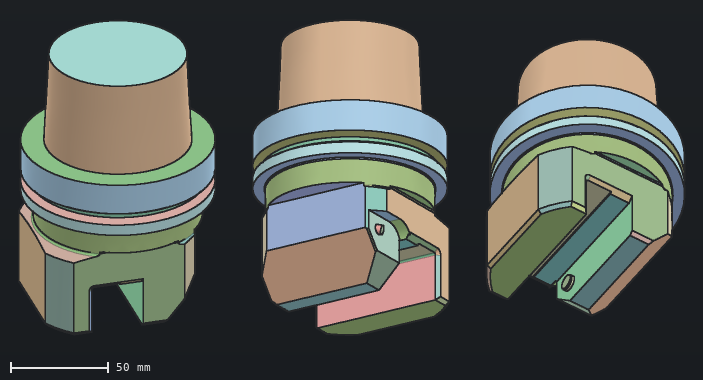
import math

import cadquery as cq


shank_height = 49.9
shank_base_radius = 38.0
shank_top_radius = 35.5

flange_radius = 99.95 / 2
flange_bottom = -29.2
groove_radius = 91.95 / 2
groove_upper_edge = -16.7
groove_upper_floor = -18.8
groove_lower_floor = -21.0
groove_lower_edge = -23.2

neck_top_radius = 87.2 / 2
neck_foot_radius = 43.5
neck_bottom = -42.9
neck_lead_in = 0.8
neck_lead_in_radius = 44.0

head_half_width = 38.1
head_front = -46.0
head_back = 32.3
head_back_bevel = 8.0
head_turned_radius = 51.7
head_bottom = -90.0
head_rim_top = -47.2
head_cone_angle = math.radians(15)
shoulder_fillet_start = -43.9
side_relief_height = 1.0
side_relief_width = 0.45

leg_inner_face = -24.7
post_face = 2.2
slot_roof = -64.1
slot_corner_radius = 1.0
edge_chamfer = 2.0
roof_pad_depth = 0.9
roof_pad_front = -9.4

post_side = -31.4
pocket_top = -58.0
pocket_corner_radius = 11.5
pocket_corner_y = 12.0
post_bevel_start = -77.7
post_slope_top = -67.8
post_slope_foot = 13.7
post_slope_chamfer = 0.75

pin_diameter = 5.0
pin_end = (-33.4, 21.4, -66.4)
pin_direction = (1.0, 0.35, 0.3)
pin_length = 6.0
screw_diameter = 8.5
screw_center_x = -19.3
screw_center_z = -77.0
screw_height = 2.3
screw_rim_height = 0.8
screw_rim_inset = 0.3

overlap = 2.0
clearance = 20.0


def make_turned_body():
    """Shank, grooved flange, neck and turned head blank as one body of revolution."""
    slope = math.tan(head_cone_angle)
    shoulder_root = head_rim_top + (head_turned_radius - neck_foot_radius) * slope
    tangent_length = shoulder_fillet_start - shoulder_root
    turn_angle = math.pi / 2 - head_cone_angle
    fillet_radius = tangent_length / math.tan(turn_angle / 2)
    middle_angle = math.pi + turn_angle / 2
    fillet_middle = (
        neck_foot_radius + fillet_radius * (1 + math.cos(middle_angle)),
        shoulder_fillet_start + fillet_radius * math.sin(middle_angle),
    )
    fillet_end = (
        neck_foot_radius + tangent_length * math.cos(head_cone_angle),
        shoulder_root - tangent_length * math.sin(head_cone_angle),
    )
    upper_profile = [
        (0, head_bottom),
        (0, shank_height),
        (shank_top_radius, shank_height),
        (shank_base_radius, 0),
        (flange_radius, 0),
        (flange_radius, groove_upper_edge),
        (groove_radius, groove_upper_floor),
        (groove_radius, groove_lower_floor),
        (flange_radius, groove_lower_edge),
        (flange_radius, flange_bottom),
        (neck_lead_in_radius, flange_bottom),
        (neck_top_radius, flange_bottom - neck_lead_in),
        (neck_foot_radius, shoulder_fillet_start),
    ]
    return (
        cq.Workplane("XZ")
        .polyline(upper_profile)
        .threePointArc(fillet_middle, fillet_end)
        .lineTo(head_turned_radius, head_rim_top)
        .lineTo(head_turned_radius, head_bottom)
        .close()
        .revolve(360, (0, 0, 0), (0, 1, 0))
    )


def extrude_head_outline(bottom, top):
    """Prism of the head outline between two heights."""
    front_corner_x = math.sqrt(head_turned_radius**2 - head_front**2)
    side_corner_y = -math.sqrt(head_turned_radius**2 - head_half_width**2)
    corner_angle = (math.atan2(head_front, front_corner_x) + math.atan2(side_corner_y, head_half_width)) / 2
    arc_x = head_turned_radius * math.cos(corner_angle)
    arc_y = head_turned_radius * math.sin(corner_angle)
    bevel_x = head_half_width - head_back_bevel
    bevel_y = head_back - head_back_bevel
    return (
        cq.Workplane("XY", origin=(0, 0, bottom))
        .moveTo(-front_corner_x, head_front)
        .lineTo(front_corner_x, head_front)
        .threePointArc((arc_x, arc_y), (head_half_width, side_corner_y))
        .lineTo(head_half_width, bevel_y)
        .lineTo(bevel_x, head_back)
        .lineTo(-bevel_x, head_back)
        .lineTo(-head_half_width, bevel_y)
        .lineTo(-head_half_width, side_corner_y)
        .threePointArc((-arc_x, arc_y), (-front_corner_x, head_front))
        .close()
        .extrude(top - bottom)
    )


def extrude_side_profile(points, x_start, x_end):
    """Prism along X of a closed polygon given as (y, z) points."""
    return cq.Workplane("YZ", origin=(x_start, 0, 0)).polyline(points).close().extrude(x_end - x_start)


def trim_to_head_outline(body):
    """Remove everything below the neck that lies outside the head outline."""
    surround = (
        cq.Workplane("XY", origin=(0, 0, neck_bottom))
        .circle(head_turned_radius + clearance)
        .extrude(head_bottom - clearance - neck_bottom)
    )
    return body.cut(surround.cut(extrude_head_outline(head_bottom - clearance, neck_bottom)))


def open_slot(body):
    """Cut away behind the front leg, then chamfer the slot side edges and the leg bottom rim."""
    cut_back = head_back + clearance
    cut_bottom = head_bottom - clearance
    opening = cq.Workplane("XY").box(
        2 * (head_half_width + clearance),
        cut_back - leg_inner_face,
        slot_roof - cut_bottom,
        centered=(True, False, False),
    )
    opening = opening.translate((0, leg_inner_face, cut_bottom))
    opening = opening.edges("<Y and >Z").fillet(slot_corner_radius)
    body = body.cut(opening)

    margin = 0.01
    slot_selectors = []
    for side in (-1, 1):
        lower = (side * head_half_width - margin, leg_inner_face - margin, head_bottom + margin)
        upper = (side * head_half_width + margin, head_back, slot_roof + margin)
        slot_selectors.append(cq.selectors.BoxSelector(lower, upper))
    edges = body.faces("<Z").edges("not(>Y)")
    for selector in slot_selectors:
        edges = edges.add(body.edges(selector))
    return edges.chamfer(edge_chamfer)


def make_roof_pad():
    """Raised pad on the slot roof, its ends continuing the chamfered roof edges."""
    top = slot_roof
    bottom = slot_roof - roof_pad_depth
    top_half = head_half_width - edge_chamfer
    bottom_half = top_half - roof_pad_depth
    profile = [
        (-top_half, top),
        (top_half, top),
        (bottom_half, bottom),
        (-bottom_half, bottom),
    ]
    length = post_face + overlap - roof_pad_front
    return cq.Workplane("XZ", origin=(0, roof_pad_front, 0)).polyline(profile).close().extrude(-length)


def make_rear_post():
    """Post behind the slot, with its sloped back and chamfered +X bottom edge."""
    post = extrude_head_outline(head_bottom, slot_roof + edge_chamfer)
    front_cut = extrude_side_profile(
        [
            (post_face, head_bottom - clearance),
            (post_face, slot_roof + clearance),
            (head_front - clearance, slot_roof + clearance),
            (head_front - clearance, head_bottom - clearance),
        ],
        -head_half_width - clearance,
        head_half_width + clearance,
    )
    back_cut = extrude_side_profile(
        [(head_back, post_slope_top), (post_slope_foot, head_bottom), (head_back, head_bottom)],
        -head_half_width - clearance,
        head_half_width + clearance,
    )
    post = post.cut(front_cut).cut(back_cut)
    return post.faces("<Z").edges(">X").chamfer(edge_chamfer)


def make_post_pocket():
    """Relief beside the post, rounded at its upper front corner."""
    corner_bottom = pocket_top - pocket_corner_radius
    diagonal = pocket_corner_radius * math.sqrt(0.5)
    corner_middle = (pocket_corner_y - diagonal, corner_bottom + diagonal)
    return (
        cq.Workplane("YZ", origin=(post_side, 0, 0))
        .moveTo(head_back + clearance, pocket_top)
        .lineTo(pocket_corner_y, pocket_top)
        .threePointArc(corner_middle, (pocket_corner_y - pocket_corner_radius, corner_bottom))
        .lineTo(pocket_corner_y - pocket_corner_radius, head_bottom - clearance)
        .lineTo(head_back + clearance, head_bottom - clearance)
        .close()
        .extrude(post_side - head_half_width)
    )


def make_post_bevel():
    """45 degree cut under the side of the post."""
    bevel = post_bevel_start - head_bottom
    profile = [
        (post_side, post_bevel_start),
        (post_side + bevel, head_bottom),
        (post_side, head_bottom),
    ]
    length = head_back - post_face
    return cq.Workplane("XZ", origin=(0, post_face, 0)).polyline(profile).close().extrude(-length)


def chamfer_post_slope(body):
    """Break the edge between the post side and its sloped back."""
    slope_run = (head_back - post_slope_foot) / (post_slope_top - head_bottom)
    middle_z = (post_slope_top + post_bevel_start) / 2
    middle_y = head_back - (post_slope_top - middle_z) * slope_run
    edge = cq.selectors.NearestToPointSelector((post_side, middle_y, middle_z))
    return body.edges(edge).chamfer(post_slope_chamfer)


def make_side_reliefs():
    """Narrow sloped strips joining the head sides to the underside of the neck."""
    reliefs = cq.Workplane("XY")
    half_length = math.sqrt(neck_foot_radius**2 - head_half_width**2)
    for side in (-1, 1):
        profile = [
            (side * (head_half_width - overlap), neck_bottom),
            (side * (head_half_width + side_relief_width), neck_bottom),
            (side * head_half_width, neck_bottom - side_relief_height),
            (side * (head_half_width - overlap), neck_bottom - side_relief_height),
        ]
        strip = cq.Workplane("XZ").polyline(profile).close().extrude(half_length, both=True)
        reliefs = reliefs.add(strip)
    neck_column = cq.Workplane("XY", origin=(0, 0, neck_bottom)).circle(neck_foot_radius)
    return reliefs.combine().intersect(neck_column.extrude(-side_relief_height))


def make_pin():
    """Short tilted pin standing out of the post side."""
    plane = cq.Plane(origin=pin_end, normal=pin_direction)
    return cq.Workplane(plane).circle(pin_diameter / 2).extrude(pin_length)


def make_screw_head():
    """Round screw head on the post face, with a bevelled rim."""
    head = (
        cq.Workplane("XZ", origin=(screw_center_x, post_face + overlap, screw_center_z))
        .circle(screw_diameter / 2)
        .extrude(overlap + screw_height)
    )
    rim_edge = head.faces("<Y").edges()
    return rim_edge.chamfer(screw_rim_height, screw_rim_inset)


result = open_slot(trim_to_head_outline(make_turned_body()))
result = result.union(make_rear_post()).union(make_roof_pad())
result = result.cut(make_post_pocket()).cut(make_post_bevel())
result = chamfer_post_slope(result)
result = result.union(make_side_reliefs()).union(make_pin()).union(make_screw_head())